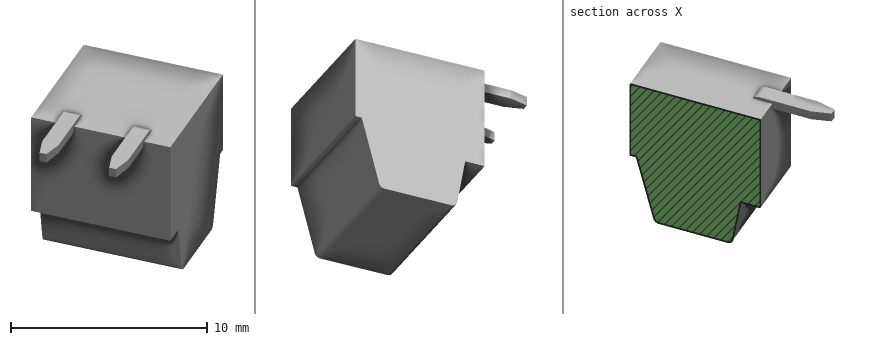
import cadquery as cq

width = 7.62
body_depth = 7.3
body_height = 8.5

back_step_height = 3.9
back_step_depth = 0.36
front_step_height = 2.81
front_step_depth = 1.1
foot_back_inset = 1.4
foot_front_inset = 1.6
foot_fillet = 0.32

pin_pitch = 3.81
pin_width = 0.9
pin_thickness = 0.5
pin_rise = 0.2
pin_reach = 3.2
pin_straight_embed = 0.7
pin_bend_radius = pin_thickness
pin_embed = pin_straight_embed + pin_bend_radius
pin_tip_length = 1.02
pin_tip_width = 0.38


def make_housing():
    """Side profile in the YZ plane, extruded along X with a rounded foot."""
    profile = [
        (0, body_height),
        (body_depth, body_height),
        (body_depth, back_step_height),
        (body_depth - back_step_depth, back_step_height),
        (body_depth - foot_back_inset, 0),
        (foot_front_inset, 0),
        (front_step_depth, front_step_height),
        (0, front_step_height),
    ]
    housing = cq.Workplane("YZ").polyline(profile).close().extrude(width / 2, both=True)
    return housing.faces("<Z").edges("|X").fillet(foot_fillet)


def make_pin(x_center):
    """Flat pin with a tapered tip and a rounded bend where it enters the housing."""
    top = body_height + pin_rise
    bottom = top - pin_thickness
    shoulder_y = pin_tip_length - pin_reach
    outline = [
        (-pin_width / 2, pin_embed),
        (-pin_width / 2, shoulder_y),
        (-pin_tip_width / 2, -pin_reach),
        (pin_tip_width / 2, -pin_reach),
        (pin_width / 2, shoulder_y),
        (pin_width / 2, pin_embed),
    ]
    blade = cq.Workplane("XY").workplane(offset=bottom).polyline(outline).close().extrude(pin_thickness)
    envelope = (
        cq.Workplane("YZ")
        .moveTo(-pin_reach, bottom)
        .lineTo(-pin_reach, top)
        .lineTo(pin_straight_embed, top)
        .radiusArc((pin_embed, top - pin_bend_radius), pin_bend_radius)
        .close()
        .extrude(pin_width / 2, both=True)
    )
    return blade.intersect(envelope).translate((x_center, 0, 0))


result = make_housing()
for x_center in (-pin_pitch / 2, pin_pitch / 2):
    result = result.union(make_pin(x_center))